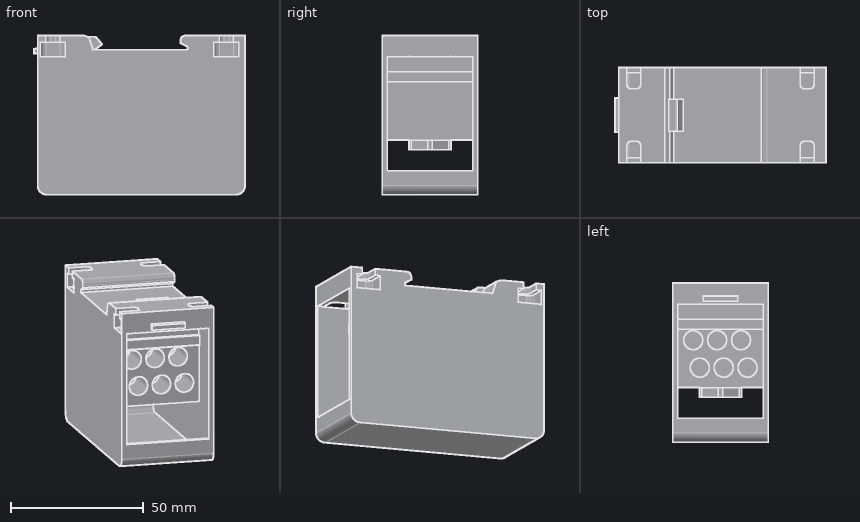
import cadquery as cq
import math

overall_length = 79.6
tab_reach = 1.4
length = overall_length - tab_reach
width = 36.0
height = 60.0
bottom_radius = 3.5

channel_depth = 5.4
channel_start = 20.85
channel_end = 56.45
bevel_start = 17.4
bevel_end = 19.35
bevel_drop = 0.7
hook_nose = 53.7
hook_radius = 2.1
hook_nose_drop = 2.95
hook_root_drop = 4.3

end_wall = 1.4
side_wall = 2.0
floor_thickness = 1.4
inner_bottom_radius = 2.4
cavity_top = 52.1
cavity_width = width - 2 * side_wall
window_sill = 9.1

slot_centres = (5.7, 71.0)
slot_width = 5.2
slot_roof = 2.55
slot_depth = 8.1
slot_radius = 1.6
pocket_width = 9.3
pocket_radius = 2.1
pocket_depth = slot_depth + pocket_radius

block_start = 13.0
block_end = length - block_start
block_bottom = 20.5
block_top = 42.5
cap_top = 46.25
cap_overhang = 0.5
web_start = 13.9
web_end = length - web_start

hole_diameter = 7.2
hole_depth = 15.9
hole_pitch = 9.0
upper_row_z = 38.45
upper_row_y = 1.3
lower_row_z = 28.1
lower_row_y = -1.2

nut_across_flats = 15.85
nut_corner_flat = 1.75
nut_height = 3.7

latch_width = 12.0
latch_start = 18.9
latch_top_end = 21.4
latch_top_drop = 0.5
latch_shoulder = 22.05
latch_shoulder_drop = 0.6
latch_tip = 24.4
latch_tip_drop = 3.4
latch_root = 21.5
tab_width = 13.0
tab_bottom = height - 6.85
tab_tip_top = height - 5.1
tab_root_top = height - 4.8


def box(x_start, x_end, y_size, z_start, z_end):
    """Box centred on Y = 0."""
    return (
        cq.Workplane("XY", origin=((x_start + x_end) / 2, 0, z_start))
        .rect(x_end - x_start, y_size)
        .extrude(z_end - z_start)
    )


def make_shell():
    """Outer housing with the rail channel."""
    channel_floor = height - channel_depth
    arc_mid = hook_radius * (1 - math.sqrt(0.5))
    profile = (
        cq.Workplane("XZ")
        .moveTo(0, 0)
        .lineTo(0, height)
        .lineTo(bevel_start, height)
        .lineTo(bevel_end, height - bevel_drop)
        .lineTo(channel_start, channel_floor)
        .lineTo(channel_end, channel_floor)
        .lineTo(channel_end, height - hook_root_drop)
        .lineTo(hook_nose, height - hook_nose_drop)
        .lineTo(hook_nose, height - hook_radius)
        .threePointArc(
            (hook_nose + arc_mid, height - arc_mid),
            (hook_nose + hook_radius, height),
        )
        .lineTo(length, height)
        .lineTo(length, 0)
        .close()
    )
    body = profile.extrude(width / 2, both=True)
    return body.edges("|Y and <Z").fillet(bottom_radius)


def make_cavity():
    """Interior space together with the window through both end walls."""
    cavity = box(end_wall, length - end_wall, cavity_width, floor_thickness, cavity_top)
    cavity = cavity.edges("|Y and <Z").fillet(inner_bottom_radius)
    return cavity.union(box(0, length, cavity_width, window_sill, cavity_top))


def make_edge_slot(x_centre, side, x_size, depth, corner_radius, z_start, z_end):
    """Slot running inward from the side face at Y = side * width / 2, with rounded inner corners."""
    inner_edge = "<Y" if side > 0 else ">Y"
    return (
        cq.Workplane("XY", origin=(x_centre, side * (width - depth) / 2, z_start))
        .rect(x_size, depth)
        .extrude(z_end - z_start)
        .edges("|Z")
        .edges(inner_edge)
        .fillet(corner_radius)
    )


def make_foot_slot(x_centre, side):
    """Narrow slot in the top skin over a wider pocket that opens into the cavity."""
    roof_underside = height - slot_roof
    slot = make_edge_slot(x_centre, side, slot_width, slot_depth, slot_radius, roof_underside, height)
    pocket = make_edge_slot(
        x_centre, side, pocket_width, pocket_depth, pocket_radius, cavity_top, roof_underside
    )
    return slot.union(pocket)


def make_wire_holes():
    """Two staggered rows of three blind holes in the block's -X face."""
    points = []
    for row_y, row_z in ((upper_row_y, upper_row_z), (lower_row_y, lower_row_z)):
        for column in (-1, 0, 1):
            points.append((row_y + column * hole_pitch, row_z))
    return (
        cq.Workplane("YZ", origin=(block_start, 0, 0))
        .pushPoints(points)
        .circle(hole_diameter / 2)
        .extrude(hole_depth)
    )


def make_nut():
    """Hexagonal nut with flattened corners, one corner facing -X."""
    corner_diameter = nut_across_flats / math.cos(math.pi / 6)
    trim_across = corner_diameter - nut_corner_flat / math.sqrt(3)
    trim_corner_diameter = trim_across / math.cos(math.pi / 6)
    plane = cq.Workplane("XY", origin=(length / 2, 0, block_bottom - nut_height))
    hexagon = plane.polygon(6, corner_diameter).extrude(nut_height)
    trim = (
        plane.transformed(rotate=(0, 0, 30))
        .polygon(6, trim_corner_diameter)
        .extrude(nut_height)
    )
    return hexagon.intersect(trim)


def make_terminal_block():
    """Block with a cap plate, a web up to the roof, wire holes and the nut."""
    block = box(block_start, block_end, cavity_width, block_bottom, block_top)
    cap = box(block_start - cap_overhang, block_end + cap_overhang, cavity_width, block_top, cap_top)
    web = box(web_start, web_end, cavity_width, cap_top, cavity_top)
    return block.cut(make_wire_holes()).union(cap).union(web).union(make_nut())


def make_latch():
    """Rail latch standing out from the bevelled wall of the channel."""
    outline = [
        (latch_start, -latch_top_drop),
        (latch_top_end, -latch_top_drop),
        (latch_shoulder, -latch_shoulder_drop),
        (latch_tip, -latch_tip_drop),
        (latch_root, -channel_depth),
        (latch_start, -channel_depth),
    ]
    return (
        cq.Workplane("XZ", origin=(0, 0, height))
        .polyline(outline)
        .close()
        .extrude(latch_width / 2, both=True)
    )


def make_tab():
    """Small tab with a sloping top on the -X end face."""
    outline = [(0, tab_bottom), (-tab_reach, tab_bottom), (-tab_reach, tab_tip_top), (0, tab_root_top)]
    return cq.Workplane("XZ").polyline(outline).close().extrude(tab_width / 2, both=True)


result = make_shell().cut(make_cavity())
for slot_x in slot_centres:
    for side in (-1, 1):
        result = result.cut(make_foot_slot(slot_x, side))
result = result.union(make_terminal_block()).union(make_latch()).union(make_tab())